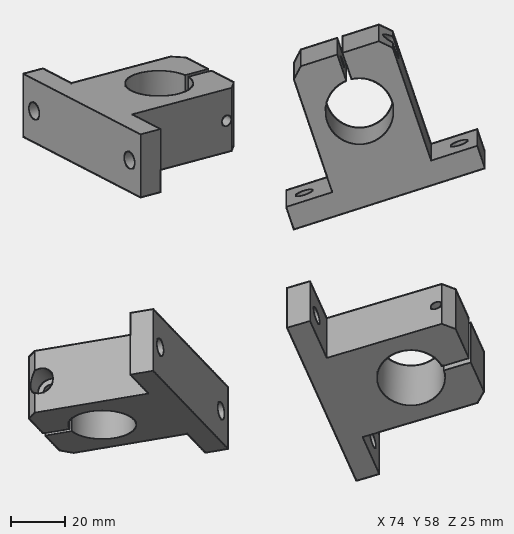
import cadquery as cq

base_length = 74.0
total_depth = 58.0
height = 25.0

base_thickness = 9.0
column_width = 38.25
corner_chamfer = 4.0

bore_diameter = 25.0
bore_center_y = 35.0
slot_width = 2.0

mount_hole_diameter = 6.6
mount_hole_spacing = 60.0

screw_from_back = 6.2
head_diameter = 10.0
head_depth = 10.0
clearance_diameter = 5.5
thread_diameter = 4.2

screw_y = total_depth - screw_from_back
mid_height = height / 2
column_left = -column_width / 2


def make_body():
    """T-shaped block with the two free corners of the column chamfered."""
    foot = cq.Workplane("XY").box(
        base_length, base_thickness, height, centered=(True, False, False)
    )
    column = (
        cq.Workplane("XY")
        .box(column_width, total_depth, height, centered=(True, False, False))
        .edges("|Z and >Y")
        .chamfer(corner_chamfer)
    )
    return foot.union(column)


def make_bore_and_slot():
    """Shaft bore with the slot that opens it to the back face."""
    bore = cq.Workplane("XY").center(0, bore_center_y).circle(bore_diameter / 2).extrude(height)
    slot = (
        cq.Workplane("XY")
        .center(0, bore_center_y)
        .box(slot_width, total_depth - bore_center_y, height, centered=(True, False, False))
    )
    return bore.union(slot)


def make_mount_holes():
    """Pair of plain holes running through the foot along Y."""
    return (
        cq.Workplane("XZ")
        .center(0, mid_height)
        .rarray(mount_hole_spacing, 0.75, 2, 1)
        .circle(mount_hole_diameter / 2)
        .extrude(-base_thickness)
    )


def screw_cylinder(diameter, length):
    """Cylinder on the clamp screw axis, starting at the -X face of the column."""
    return (
        cq.Workplane("YZ", origin=(column_left, screw_y, mid_height))
        .circle(diameter / 2)
        .extrude(length)
    )


def make_screw_hole():
    """Stepped clamp screw hole crossing both jaws."""
    head = screw_cylinder(head_diameter, head_depth)
    clearance = screw_cylinder(clearance_diameter, column_width / 2)
    thread = screw_cylinder(thread_diameter, column_width)
    return head.union(clearance).union(thread)


result = make_body().cut(make_bore_and_slot()).cut(make_mount_holes()).cut(make_screw_hole())